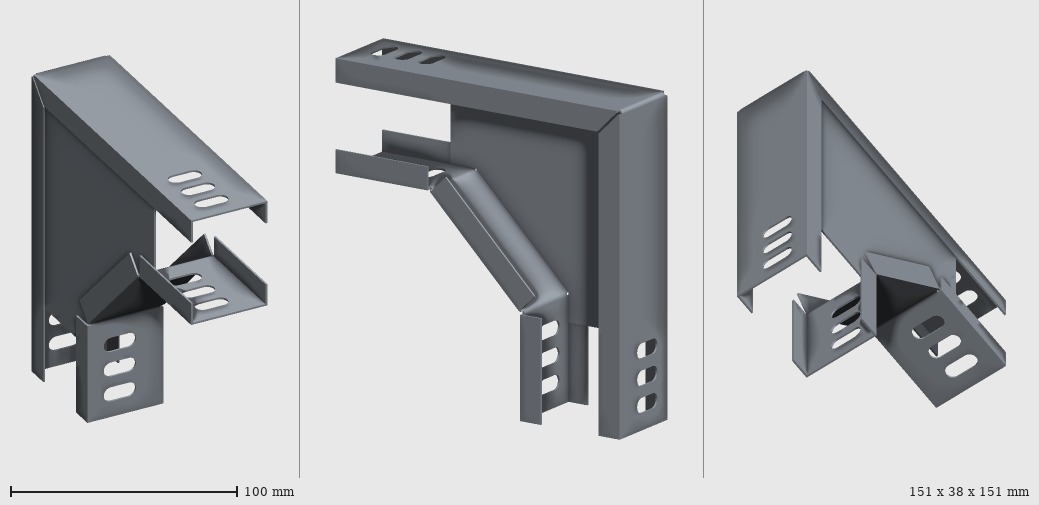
import cadquery as cq
import math

leg_length = 151.0
width = 38.0
thickness = 0.9

outer_flange = 11.2
outer_bend_radius = 1.8
mitre_gap = 1.0

inner_setback = 52.9
inner_leg = 49.0
inner_leg_flange = 10.9
diagonal_flange = 11.5
inner_bend_radius = 2.0
bend_angle = math.radians(45)

plate_size = 114.2
plate_gap = 1.5
plate_corner_radius = 1.8

relief_depth = 2.0

slot_count = 3
slot_pitch = 12.5
slot_length = 16.0
slot_width = 7.1
slot_end_distance = 11.5
slot_y = 16.2

top = leg_length
leg_start = leg_length - inner_leg
inner_z = top - inner_setback
diagonal_component = math.sqrt(0.5)
half_bend = bend_angle / 2
flange_y_starts = (0.0, width - thickness)
relief_y_starts = (0.0, width - relief_depth)


def prism(points, y, depth):
    """Polygon of (X, Z) points extruded from y towards +Y."""
    return cq.Workplane("XZ", origin=(0, y, 0)).polyline(points).close().extrude(-depth)


def mirrored(points):
    """(X, Z) points reflected in the corner diagonal, which swaps the two legs."""
    return [(top - z, top - x) for x, z in points]


def cut_slots(channel):
    """Cut the row of slots through the web of each leg."""
    cutter_height = inner_setback + thickness
    for index in range(slot_count):
        from_corner = leg_length - slot_end_distance - index * slot_pitch
        top_slot = (
            cq.Workplane("XY", origin=(from_corner, slot_y, top - cutter_height))
            .slot2D(slot_length, slot_width, 90)
            .extrude(cutter_height)
        )
        left_slot = (
            cq.Workplane("YZ", origin=(0, slot_y, top - from_corner))
            .slot2D(slot_length, slot_width, 0)
            .extrude(cutter_height)
        )
        channel = channel.cut(top_slot).cut(left_slot)
    return channel


def cut_reliefs(channel, outlines):
    """Notch the bend at both sides of the channel."""
    for y in relief_y_starts:
        for outline in outlines:
            channel = channel.cut(prism(outline, y, relief_depth))
    return channel


def add_flanges(channel, outlines):
    """Add flanges of sheet thickness at both sides of the channel."""
    for y in flange_y_starts:
        for outline in outlines:
            channel = channel.union(prism(outline, y, thickness))
    return channel


def make_outer_web():
    radius = outer_bend_radius
    outside_mid = radius - radius * diagonal_component
    inside_mid = radius - (radius - thickness) * diagonal_component
    return (
        cq.Workplane("XZ")
        .moveTo(0, 0)
        .lineTo(0, top - radius)
        .threePointArc((outside_mid, top - outside_mid), (radius, top))
        .lineTo(leg_length, top)
        .lineTo(leg_length, top - thickness)
        .lineTo(radius, top - thickness)
        .threePointArc((inside_mid, top - inside_mid), (thickness, top - radius))
        .lineTo(thickness, 0)
        .close()
        .extrude(-width)
    )


def make_outer_channel():
    bend_end = outer_bend_radius
    mitre_shift = mitre_gap * diagonal_component
    relief = [(0, top), (bend_end, top), (bend_end, top - bend_end), (0, top - bend_end)]
    flange = [
        (bend_end, top),
        (bend_end, top - bend_end + mitre_shift),
        (outer_flange + mitre_shift, top - outer_flange),
        (leg_length, top - outer_flange),
        (leg_length, top),
    ]
    channel = cut_reliefs(make_outer_web(), [relief])
    channel = add_flanges(channel, [flange, mirrored(flange)])
    return cut_slots(channel)


def inner_bend_point(radius, angle):
    """Point on the upper bend of the inner channel, turned by angle from the leg end."""
    centre_z = inner_z - inner_bend_radius
    return (leg_start - radius * math.sin(angle), centre_z + radius * math.cos(angle))


def make_inner_web():
    lower_radius = inner_bend_radius
    upper_radius = inner_bend_radius + thickness
    lower = [inner_bend_point(lower_radius, angle) for angle in (0, half_bend, bend_angle)]
    upper = [inner_bend_point(upper_radius, angle) for angle in (0, half_bend, bend_angle)]
    left_lower = mirrored(lower)
    left_upper = mirrored(upper)
    return (
        cq.Workplane("XZ")
        .moveTo(leg_length, inner_z)
        .lineTo(*lower[0])
        .threePointArc(lower[1], lower[2])
        .lineTo(*left_lower[2])
        .threePointArc(left_lower[1], left_lower[0])
        .lineTo(inner_setback, 0)
        .lineTo(inner_setback - thickness, 0)
        .lineTo(*left_upper[0])
        .threePointArc(left_upper[1], left_upper[2])
        .lineTo(*upper[2])
        .threePointArc(upper[1], upper[0])
        .lineTo(leg_length, inner_z + thickness)
        .close()
        .extrude(-width)
    )


def make_inner_channel():
    diagonal_end = inner_bend_point(inner_bend_radius, bend_angle)
    end_x, end_z = diagonal_end
    relief = [
        (end_x, end_z - thickness),
        (leg_start, end_z - thickness),
        (leg_start, inner_z + thickness),
        (end_x, inner_z + thickness),
    ]
    leg_flange = [
        (leg_start, inner_z),
        (leg_length, inner_z),
        (leg_length, inner_z + inner_leg_flange),
        (leg_start, inner_z + inner_leg_flange),
    ]
    shift = diagonal_flange * diagonal_component
    upper_edge = [diagonal_end, (end_x - shift, end_z + shift)]
    diagonal = upper_edge + mirrored(upper_edge)[::-1]

    channel = cut_reliefs(make_inner_web(), [relief, mirrored(relief)])
    channel = add_flanges(channel, [leg_flange, mirrored(leg_flange), diagonal])
    return cut_slots(channel)


def make_plate():
    corner = (plate_gap, top - plate_gap)
    lower_z = inner_z + plate_gap
    diagonal_start = leg_start - (inner_bend_radius + plate_gap) * math.tan(half_bend)
    right_side = [
        (plate_size, top - plate_gap),
        (plate_size, lower_z),
        (diagonal_start, lower_z),
    ]
    plate = prism([corner] + right_side + mirrored(right_side)[::-1], thickness, thickness)
    corner_edge = cq.selectors.NearestToPointSelector((corner[0], 1.5 * thickness, corner[1]))
    return plate.edges("|Y").edges(corner_edge).fillet(plate_corner_radius)


outer_channel = make_outer_channel()
inner_channel = make_inner_channel()
plate = make_plate()

result = cq.Compound.makeCompound([outer_channel.val(), inner_channel.val(), plate.val()])